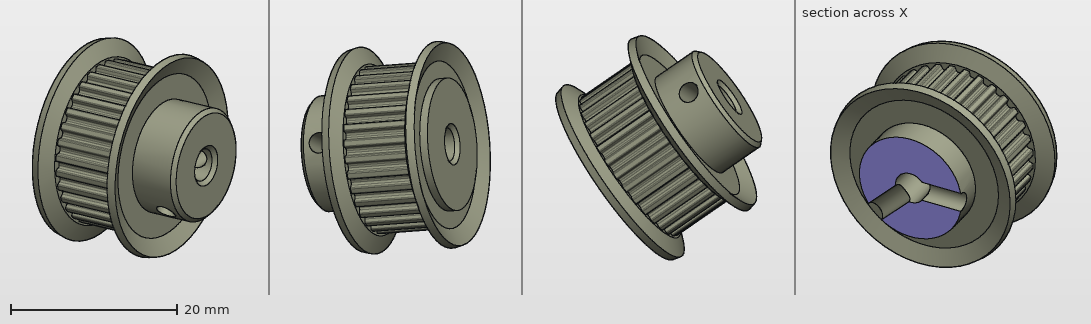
import cadquery as cq
import math


flange_width = 2.0
sheet_thickness = 1.0
belt_width = 8.0
hub_length = 5.0
hub_chamfer = 0.5
flanged_width = belt_width + 2 * flange_width
total_length = flanged_width + hub_length

flange_radius = 12.5
rim_taper = 0.25
rim_edge_radius = flange_radius - rim_taper
dish_floor_radius = 10.12
inner_cone_radius = dish_floor_radius + rim_taper
end_disc_radius = 8.0
hub_radius = 7.0
bore_radius = 2.0
bore_chamfer = 0.5

tooth_count = 32
tip_radius = 10.1
groove_depth = 0.7
groove_floor_width = 0.68
flank_angle = 20.0
groove_fillet = 0.3
tip_fillet = 0.15

screw_radius = 1.25
screw_angles = (0.0, 225.0)
screw_x = flanged_width + hub_length / 2


def revolve_about_axis(profile):
    """Revolve a closed list of (x, radius) points about the X axis."""
    return cq.Workplane("XY").polyline(profile).close().revolve(360, (0, 0), (1, 0))


def make_flange():
    """Dished sheet flange with its dished side at X = 0."""
    return revolve_about_axis([
        (sheet_thickness, 0),
        (sheet_thickness, dish_floor_radius),
        (0, rim_edge_radius),
        (flange_width - sheet_thickness, flange_radius),
        (flange_width, inner_cone_radius),
        (flange_width, 0),
    ])


def make_groove():
    """Trapezoidal tooth groove at the crown (+Z), with rounded floor corners and mouth edges."""
    flank = math.radians(flank_angle)
    along = cq.Vector(math.sin(flank), math.cos(flank))
    into_tooth = cq.Vector(math.cos(flank), -math.sin(flank))
    floor_half = groove_floor_width / 2
    floor_z = tip_radius - groove_depth
    floor_corner = cq.Vector(floor_half, floor_z)

    centre_radius = tip_radius - tip_fillet
    centre_offset = floor_corner.dot(into_tooth) + tip_fillet
    centre = into_tooth * centre_offset + along * math.sqrt(centre_radius**2 - centre_offset**2)
    outward = centre.normalized()
    flank_end = centre - into_tooth * tip_fillet
    rounding_middle = centre + (outward - into_tooth).normalized() * tip_fillet
    tip_end = centre + outward * tip_fillet

    def left(point):
        return (-point.x, point.y)

    def right(point):
        return (point.x, point.y)

    groove = (
        cq.Workplane("YZ", origin=(flange_width, 0, 0))
        .moveTo(*left(floor_corner))
        .lineTo(*right(floor_corner))
        .lineTo(*right(flank_end))
        .threePointArc(right(rounding_middle), right(tip_end))
        .lineTo(tip_end.x, flange_radius)
        .lineTo(-tip_end.x, flange_radius)
        .lineTo(*left(tip_end))
        .threePointArc(left(rounding_middle), left(flank_end))
        .close()
        .extrude(belt_width)
    )
    return groove.faces("<Z").edges("|X").fillet(groove_fillet)


def make_toothed_body():
    """Cylinder between the flanges, cut by evenly spaced grooves."""
    body = cq.Workplane("YZ", origin=(flange_width, 0, 0)).circle(tip_radius).extrude(belt_width)
    groove = make_groove().val()
    pitch_angle = 360 / tooth_count
    grooves = [
        groove.rotate(cq.Vector(0, 0, 0), cq.Vector(1, 0, 0), index * pitch_angle)
        for index in range(tooth_count)
    ]
    return cq.Workplane(body.val().cut(*grooves))


def make_hub():
    """Chamfered hub that starts at the second flange."""
    start = flanged_width - sheet_thickness
    hub = cq.Workplane("YZ", origin=(start, 0, 0)).circle(hub_radius).extrude(total_length - start)
    return hub.faces(">X").chamfer(hub_chamfer)


def make_bore():
    """Through bore, widened by a chamfer at both ends."""
    mouth_radius = bore_radius + bore_chamfer
    return revolve_about_axis([
        (0, 0),
        (0, mouth_radius),
        (bore_chamfer, bore_radius),
        (total_length - bore_chamfer, bore_radius),
        (total_length, mouth_radius),
        (total_length, 0),
    ])


def make_screw_hole(angle):
    """Radial hole from the hub surface into the bore."""
    hole = cq.Workplane("XZ", origin=(screw_x, 0, 0)).circle(screw_radius).extrude(-flange_radius)
    return hole.rotate((0, 0, 0), (1, 0, 0), angle)


flange = make_flange()
end_disc = cq.Workplane("YZ").circle(end_disc_radius).extrude(sheet_thickness)

result = make_toothed_body().union(flange)
result = result.union(flange.mirror("YZ").translate((flanged_width, 0, 0)))
result = result.union(end_disc).union(make_hub()).cut(make_bore())
for screw_angle in screw_angles:
    result = result.cut(make_screw_hole(screw_angle))